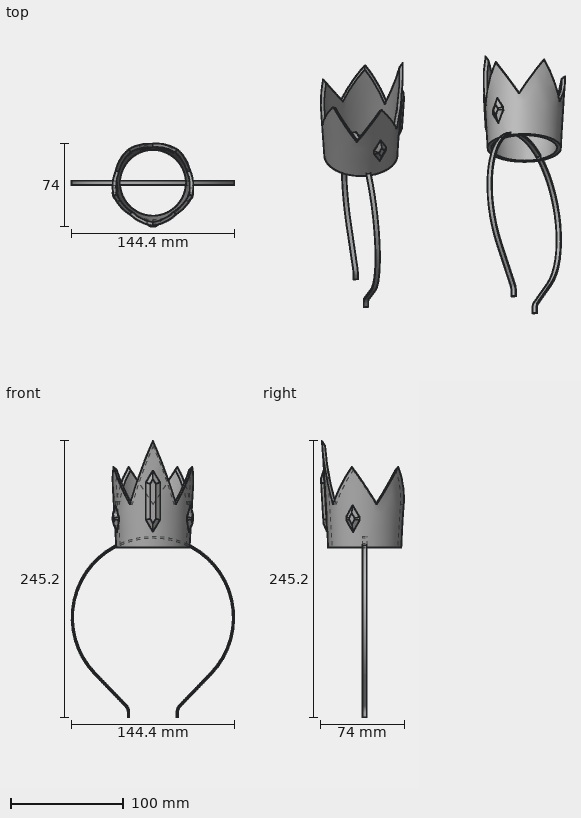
import cadquery as cq
import math

TOTAL_WIDTH = 144.44
TOTAL_HEIGHT = 245.2

TOOTH_COUNT = 5
TOOTH_PITCH = 360 / TOOTH_COUNT
FRONT_ANGLE = -90
BASE_RADIUS = 32.6
BASE_INNER_RADIUS = 29.1
FRONT_TIP_HEIGHT = 94.7
TIP_HEIGHT = 71.6
VALLEY_HEIGHT = 38.5
FRONT_TIP_RADIUS = 38.1
FRONT_TIP_INNER_RADIUS = 35.3
FLARE = (FRONT_TIP_RADIUS - BASE_RADIUS) / FRONT_TIP_HEIGHT
FLARE_ANGLE = math.degrees(math.atan(FLARE))

GEM_HALF_WIDTH = 6.3
GEM_POINT = 10.6
GEM_INSET = 3.8
GEM_RISE = 2.85
GEM_ROOT = 1.0
FRONT_GEM_HEIGHT = 41.2
FRONT_GEM_STRAIGHT = 33.2
FRONT_TABLE_STRAIGHT = 31
SIDE_GEM_HEIGHT = 25.7
SIDE_GEM_STRAIGHT = 2.6
SIDE_TABLE_STRAIGHT = 1.6

BAND_RADIUS = TOTAL_WIDTH / 2
BAND_THICKNESS = 1.5
BAND_WIDTH = 4
BAND_CENTRE_Z = -62.1
BAND_BOTTOM_Z = FRONT_TIP_HEIGHT - TOTAL_HEIGHT
LEG_ANGLE = 46
END_X = 21.6
END_BEND_RADIUS = 9


def wall_radius(height):
    """Outer radius of the crown wall at a height."""
    return BASE_RADIUS + FLARE * height


def make_cone(base_radius, top_radius):
    """Solid flared plug as tall as the front tooth."""
    profile = [(0, 0), (base_radius, 0), (top_radius, FRONT_TIP_HEIGHT), (0, FRONT_TIP_HEIGHT)]
    return cq.Workplane("XZ").polyline(profile).close().revolve(360, (0, 0), (0, 1))


def make_notch(angle, left_tip, right_tip):
    """V-shaped notch running radially outward; left and right as seen from outside."""
    half_pitch = math.radians(TOOTH_PITCH / 2)
    left_x = -wall_radius(left_tip) * math.sin(half_pitch)
    right_x = wall_radius(right_tip) * math.sin(half_pitch)
    stretch = 2
    left = (left_x * stretch, VALLEY_HEIGHT + (left_tip - VALLEY_HEIGHT) * stretch)
    right = (right_x * stretch, VALLEY_HEIGHT + (right_tip - VALLEY_HEIGHT) * stretch)
    outline = [(0, VALLEY_HEIGHT), right, left]
    length = 2 * BASE_RADIUS
    notch = cq.Workplane("XZ").polyline(outline).close().extrude(length)
    return notch.rotate((0, 0, 0), (0, 0, 1), angle - FRONT_ANGLE)


def make_crown():
    """Flared ring with a notch between each pair of teeth."""
    crown = make_cone(BASE_RADIUS, FRONT_TIP_RADIUS)
    crown = crown.cut(make_cone(BASE_INNER_RADIUS, FRONT_TIP_INNER_RADIUS))
    for i in range(TOOTH_COUNT):
        left_tip = FRONT_TIP_HEIGHT if i == 0 else TIP_HEIGHT
        right_tip = FRONT_TIP_HEIGHT if i == TOOTH_COUNT - 1 else TIP_HEIGHT
        angle = FRONT_ANGLE + (i + 0.5) * TOOTH_PITCH
        crown = crown.cut(make_notch(angle, left_tip, right_tip))
    return crown


def crystal_outline(half_width, straight, point):
    """Upright hexagon: straight sides with a pointed end above and below."""
    shoulder = straight / 2
    apex = shoulder + point
    return [
        (0, apex), (half_width, shoulder), (half_width, -shoulder),
        (0, -apex), (-half_width, -shoulder), (-half_width, shoulder),
    ]


def make_gem(angle, height, straight, table_straight):
    """Crystal tilted to match the wall and trimmed to rest on it."""
    table_half_width = GEM_HALF_WIDTH - GEM_INSET
    table_point = GEM_POINT * table_half_width / GEM_HALF_WIDTH
    rim = crystal_outline(GEM_HALF_WIDTH, straight, GEM_POINT)
    table = crystal_outline(table_half_width, table_straight, table_point)
    root = cq.Workplane("XZ").workplane(offset=-GEM_ROOT).polyline(rim).close()
    gem = root.extrude(GEM_ROOT)
    bevel = cq.Workplane("XZ").polyline(rim).close()
    bevel = bevel.workplane(offset=GEM_RISE).polyline(table).close().loft(ruled=True)
    gem = gem.union(bevel)
    gem = gem.rotate((0, 0, 0), (1, 0, 0), FLARE_ANGLE)
    gem = gem.translate((0, -wall_radius(height), height))
    gem = gem.cut(make_cone(BASE_RADIUS, FRONT_TIP_RADIUS))
    return gem.rotate((0, 0, 0), (0, 0, 1), angle - FRONT_ANGLE)


def make_headband():
    """Strip swept along a bow, two straight legs and two upright ends."""
    radius = BAND_RADIUS - BAND_THICKNESS / 2
    leg = math.radians(LEG_ANGLE)
    bow_end = (radius * math.sin(leg), BAND_CENTRE_Z - radius * math.cos(leg))
    bend_turn = math.pi / 2 - leg
    bend_start_x = END_X + END_BEND_RADIUS * (1 - math.cos(bend_turn))
    bend_start = (bend_start_x, bow_end[1] - (bow_end[0] - bend_start_x) * math.tan(leg))
    bend_end = (END_X, bend_start[1] - END_BEND_RADIUS * math.sin(bend_turn))
    bend_middle = (
        END_X + END_BEND_RADIUS * (1 - math.cos(bend_turn / 2)),
        bend_end[1] + END_BEND_RADIUS * math.sin(bend_turn / 2),
    )

    def mirrored(point):
        return (-point[0], point[1])

    middle_line = (
        cq.Workplane("XZ")
        .moveTo(END_X, BAND_BOTTOM_Z)
        .lineTo(*bend_end)
        .threePointArc(bend_middle, bend_start)
        .lineTo(*bow_end)
        .threePointArc((0, BAND_CENTRE_Z + radius), mirrored(bow_end))
        .lineTo(*mirrored(bend_start))
        .threePointArc(mirrored(bend_middle), mirrored(bend_end))
        .lineTo(-END_X, BAND_BOTTOM_Z)
    )
    section = cq.Workplane("XY", origin=(END_X, 0, BAND_BOTTOM_Z)).rect(BAND_THICKNESS, BAND_WIDTH)
    return section.sweep(middle_line)


headband = make_headband()

crown = make_crown().cut(headband)

front_gem = make_gem(FRONT_ANGLE, FRONT_GEM_HEIGHT, FRONT_GEM_STRAIGHT, FRONT_TABLE_STRAIGHT)
side_gems = [
    make_gem(FRONT_ANGLE + side * TOOTH_PITCH, SIDE_GEM_HEIGHT, SIDE_GEM_STRAIGHT, SIDE_TABLE_STRAIGHT)
    for side in (-1, 1)
]

result = cq.Compound.makeCompound(
    [crown.val(), headband.val(), front_gem.val()] + [gem.val() for gem in side_gems]
)